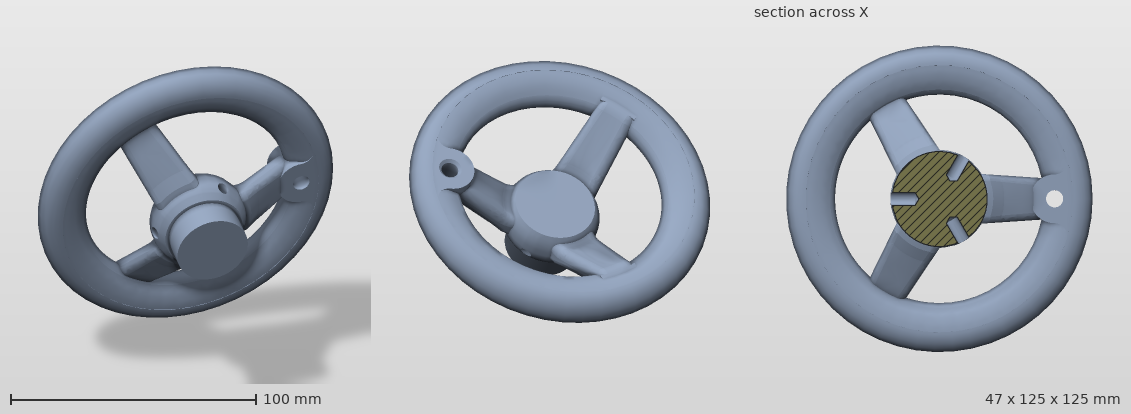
import cadquery as cq
import math

rim_outer_radius = 62.5
rim_thickness = 16.0
rim_inner_radius = 42.5
rim_step = 0.2
rim_tip_radius = 5.5
tube_radius = rim_thickness / 2
mid_x = tube_radius
crest_radius = rim_outer_radius - tube_radius

overall_length = 47.0
hub_front_x = 17.0
hub_back_x = 35.0
hub_face_radius = 16.5
hub_max_radius = 20.0
shaft_boss_diameter = 30.0

pin_hole_diameter = 5.01
pin_hole_x = 29.65
pin_hole_bottom_radius = 10.0
drill_point_angle = 118.0

spoke_count = 3
spoke_angle = 54.0
spoke_front_x_rim = 1.5
spoke_front_x_hub = 19.2
spoke_back_x_hub = 29.65
spoke_kink_x = 24.5
spoke_kink_radius = 26.45
spoke_shoulder_x = 28.4
spoke_shoulder_radius = 22.0
spoke_front_knee = 19.7
spoke_back_hub_radius = 19.2
spoke_back_x_rim = 10.0
spoke_root_radius = 13.0
spoke_tip_radius = 50.0
spoke_rim_bend = 6.5
spoke_front_hub_bend = 8.0
spoke_edge_fillet = 3.4
width_at_hub = 20.3
width_at_hub_radius = 17.0
width_at_rim = 17.2
width_at_rim_radius = 40.0

lug_centre = 47.0
lug_radius = 9.95
lug_back_x = rim_thickness - rim_step
handle_hole_diameter = 7.0
handle_chamfer = 1.2


def make_rim():
    """Revolve the rim section around the X axis."""
    half = tube_radius - rim_step
    reach = crest_radius - rim_inner_radius
    flank_radius = (half**2 + reach**2 - 2 * reach * rim_tip_radius) / (2 * (half - rim_tip_radius))
    tip_centre = rim_inner_radius + rim_tip_radius
    tangent_angle = math.asin((crest_radius - tip_centre) / (flank_radius - rim_tip_radius))
    tangent_dx = rim_tip_radius * math.cos(tangent_angle)
    tangent_r = tip_centre - rim_tip_radius * math.sin(tangent_angle)
    flank_dx = half - flank_radius
    mid_dx = flank_dx + flank_radius * math.cos(tangent_angle / 2)
    mid_r = crest_radius - flank_radius * math.sin(tangent_angle / 2)
    section = (
        cq.Workplane("XY")
        .moveTo(0, crest_radius)
        .threePointArc((mid_x, rim_outer_radius), (rim_thickness, crest_radius))
        .lineTo(rim_thickness - rim_step, crest_radius)
        .threePointArc((mid_x + mid_dx, mid_r), (mid_x + tangent_dx, tangent_r))
        .threePointArc((mid_x, rim_inner_radius), (mid_x - tangent_dx, tangent_r))
        .threePointArc((mid_x - mid_dx, mid_r), (rim_step, crest_radius))
        .close()
    )
    return section.revolve(360, (0, 0, 0), (1, 0, 0))


def make_hub():
    """Barrel-shaped hub with the shaft boss behind it."""
    section = (
        cq.Workplane("XY")
        .moveTo(hub_front_x, 0)
        .lineTo(hub_front_x, hub_face_radius)
        .threePointArc(((hub_front_x + hub_back_x) / 2, hub_max_radius), (hub_back_x, hub_face_radius))
        .lineTo(hub_back_x, shaft_boss_diameter / 2)
        .lineTo(overall_length, shaft_boss_diameter / 2)
        .lineTo(overall_length, 0)
        .close()
    )
    return section.revolve(360, (0, 0, 0), (1, 0, 0))


def bend_corner(before, corner, after, radius):
    """Start, middle and end of the arc that rounds a corner of an outline."""
    def unit_towards(target):
        dx = target[0] - corner[0]
        dy = target[1] - corner[1]
        length = math.hypot(dx, dy)
        return dx / length, dy / length

    ax, ay = unit_towards(before)
    bx, by = unit_towards(after)
    half_angle = math.acos(ax * bx + ay * by) / 2
    setback = radius / math.tan(half_angle)
    to_middle = radius / math.sin(half_angle) - radius
    bisector = math.hypot(ax + bx, ay + by)
    start = (corner[0] + setback * ax, corner[1] + setback * ay)
    middle = (
        corner[0] + to_middle * (ax + bx) / bisector,
        corner[1] + to_middle * (ay + by) / bisector,
    )
    end = (corner[0] + setback * bx, corner[1] + setback * by)
    return start, middle, end


def make_spoke():
    """Spoke along +Y: an S-shaped ring around the X axis, trimmed to a tapering strip."""
    slope = math.tan(math.radians(spoke_angle))
    front_root = (spoke_front_x_hub, spoke_root_radius)
    front_hub_knee = (spoke_front_x_hub, spoke_front_knee)
    front_rim_knee = (spoke_front_x_rim, spoke_front_knee + slope * (spoke_front_x_hub - spoke_front_x_rim))
    front_tip = (spoke_front_x_rim, spoke_tip_radius)
    back_points = [
        (spoke_back_x_rim, spoke_tip_radius),
        (spoke_back_x_rim, spoke_kink_radius + slope * (spoke_kink_x - spoke_back_x_rim)),
        (spoke_kink_x, spoke_kink_radius),
        (spoke_shoulder_x, spoke_shoulder_radius),
        (spoke_back_x_hub, spoke_back_hub_radius),
        (spoke_back_x_hub, spoke_root_radius),
    ]

    front_hub_bend = bend_corner(front_root, front_hub_knee, front_rim_knee, spoke_front_hub_bend)
    front_rim_bend = bend_corner(front_hub_knee, front_rim_knee, front_tip, spoke_rim_bend)
    outline = cq.Workplane("XY").moveTo(*front_root)
    for start, middle, end in (front_hub_bend, front_rim_bend):
        outline = outline.lineTo(*start).threePointArc(middle, end)
    outline = outline.lineTo(*front_tip)
    for point in back_points:
        outline = outline.lineTo(*point)
    ring = outline.close().revolve(360, (0, 0, 0), (1, 0, 0))

    taper = (width_at_rim - width_at_hub) / (width_at_rim_radius - width_at_hub_radius)
    root_half = (width_at_hub + taper * (spoke_root_radius - width_at_hub_radius)) / 2
    tip_half = (width_at_hub + taper * (spoke_tip_radius - width_at_hub_radius)) / 2
    plan = (
        cq.Workplane("YZ")
        .polyline([
            (spoke_root_radius, -root_half),
            (spoke_tip_radius, -tip_half),
            (spoke_tip_radius, tip_half),
            (spoke_root_radius, root_half),
        ])
        .close()
        .extrude(overall_length)
    )
    strip = ring.intersect(plan)

    rounding_end = front_rim_bend[-1][1]
    inner_part = cq.Workplane("YZ").circle(rounding_end).extrude(overall_length)
    square_tip = strip.cut(inner_part)
    rounded_strip = strip.faces("<Z or >Z").edges("not |X").fillet(spoke_edge_fillet)
    return rounded_strip.union(square_tip)


def make_lug():
    """Flat round lug at the end of the +Y spoke, flaring into the crest line of the rim."""
    flare_radius = (crest_radius**2 - lug_centre**2 - lug_radius**2) / (2 * (lug_radius + crest_radius))
    flare_z = lug_radius + flare_radius
    flare_angle = math.atan2(flare_z, lug_centre)
    end_y = crest_radius * math.cos(flare_angle)
    end_z = crest_radius * math.sin(flare_angle)
    mid_angle = (flare_angle - math.pi / 2) / 2
    mid_y = lug_centre + flare_radius * math.cos(mid_angle)
    mid_z = flare_z + flare_radius * math.sin(mid_angle)
    outline = (
        cq.Workplane("YZ", origin=(rim_step, 0, 0))
        .moveTo(lug_centre, lug_radius)
        .threePointArc((mid_y, mid_z), (end_y, end_z))
        .threePointArc((crest_radius, 0), (end_y, -end_z))
        .threePointArc((mid_y, -mid_z), (lug_centre, -lug_radius))
        .threePointArc((lug_centre - lug_radius, 0), (lug_centre, lug_radius))
        .close()
    )
    return outline.extrude(lug_back_x - rim_step)


def cut_handle_hole(body):
    """Through hole in the lug, chamfered at the front."""
    mouth_radius = handle_hole_diameter / 2 + handle_chamfer
    hole = cq.Workplane("YZ").center(lug_centre, 0).circle(handle_hole_diameter / 2).extrude(overall_length)
    countersink = cq.Workplane(
        cq.Solid.makeCone(
            mouth_radius,
            handle_hole_diameter / 2,
            handle_chamfer,
            cq.Vector(rim_step, lug_centre, 0),
            cq.Vector(1, 0, 0),
        )
    )
    return body.cut(hole).cut(countersink)


def make_pin_hole():
    """Radial drilled hole with a conical bottom, pointing along -Y."""
    radius = pin_hole_diameter / 2
    point_depth = radius / math.tan(math.radians(drill_point_angle / 2))
    section = (
        cq.Workplane("XY")
        .moveTo(pin_hole_x, -pin_hole_bottom_radius + point_depth)
        .lineTo(pin_hole_x + radius, -pin_hole_bottom_radius)
        .lineTo(pin_hole_x + radius, -hub_max_radius)
        .lineTo(pin_hole_x, -hub_max_radius)
        .close()
    )
    return section.revolve(360, (pin_hole_x, 0, 0), (pin_hole_x, 1, 0))


def around_axis(feature):
    """Copies of a feature, one per spoke, evenly spaced around the X axis."""
    return [
        feature.rotate((0, 0, 0), (1, 0, 0), 360 / spoke_count * index) for index in range(spoke_count)
    ]


wheel = make_rim().union(make_hub())
for spoke in around_axis(make_spoke()):
    wheel = wheel.union(spoke)
wheel = wheel.union(make_lug())
wheel = cut_handle_hole(wheel)
for pin_hole in around_axis(make_pin_hole()):
    wheel = wheel.cut(pin_hole)

result = wheel